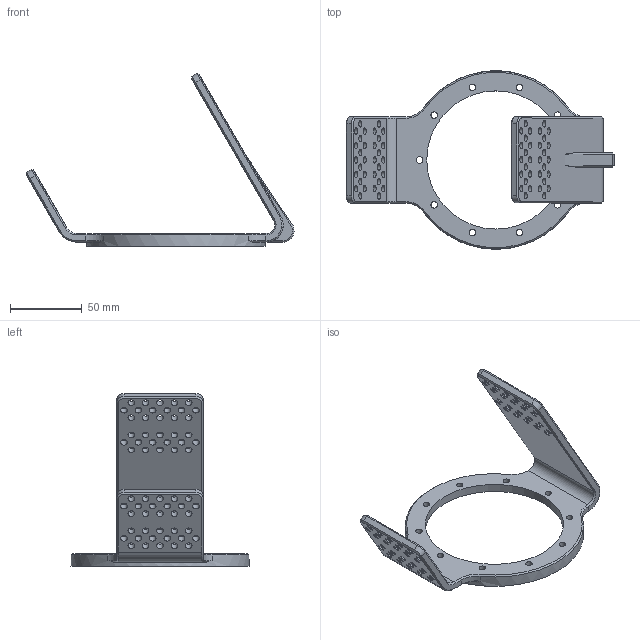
import cadquery as cq
import math

ring_radius = 62.0
bore_radius = 48.0
ring_height = 9.0
skirt_wall = 3.0
bolt_circle_radius = 53.0
bolt_hole_diameter = 4.5
bolt_hole_count = 10

strap_width = 60.0
strap_thickness = 6.0
arm_tilt = 60.0
tip_corner_radius = 5.0
tab_blend_radius = 15.0
edge_chamfer = 1.0

front_bend_x = -68.8
front_bend_radius = 8.0
front_arm_length = 47.4
rear_bend_x = 62.6
rear_bend_radius = 6.0
rear_arm_length = 115.1

grip_hole_diameter = 4.5
grip_pitch_across = 10.0
grip_pitch_along = 6.0
grip_group_spacing = 25.8
grip_tip_offset = 10.5
grip_long_row = 6
grip_short_row = 5

rib_width = 10.0
rib_nose_x = 74.1
rib_nose_radius = 8.0
rib_top_x = 48.0

strap_bottom = ring_height - strap_thickness
half_width = strap_width / 2
tilt = math.radians(arm_tilt)
front_bend = (front_bend_x, ring_height + front_bend_radius)
rear_bend = (rear_bend_x, ring_height + rear_bend_radius)


def polar(center, radius, angle):
    """Point in the XZ plane at a distance and an angle (degrees from +X) from a centre."""
    turn = math.radians(angle)
    return (center[0] + radius * math.cos(turn), center[1] + radius * math.sin(turn))


def along_arm(point, distance):
    """Point moved up along the direction shared by both arms."""
    return (point[0] - distance * math.cos(tilt), point[1] + distance * math.sin(tilt))


def extrude_across(outline, width):
    """Solid of an XZ outline, centred on Y = 0."""
    return outline.close().extrude(width / 2, both=True)


front_end = 270 - arm_tilt
front_middle = 270 - arm_tilt / 2
rear_end = 90 - arm_tilt
rear_middle = rear_end / 2 - 45
flat = 270


def make_strap():
    """Bent strip with rounded arm tips."""
    front_outer = front_bend_radius + strap_thickness
    rear_outer = rear_bend_radius + strap_thickness
    front_outer_end = polar(front_bend, front_outer, front_end)
    front_inner_end = polar(front_bend, front_bend_radius, front_end)
    rear_outer_end = polar(rear_bend, rear_outer, rear_end)
    rear_inner_end = polar(rear_bend, rear_bend_radius, rear_end)
    outline = (
        cq.Workplane("XZ")
        .moveTo(*along_arm(front_outer_end, front_arm_length))
        .lineTo(*front_outer_end)
        .threePointArc(polar(front_bend, front_outer, front_middle), polar(front_bend, front_outer, flat))
        .lineTo(*polar(rear_bend, rear_outer, flat))
        .threePointArc(polar(rear_bend, rear_outer, rear_middle), rear_outer_end)
        .lineTo(*along_arm(rear_outer_end, rear_arm_length))
        .lineTo(*along_arm(rear_inner_end, rear_arm_length))
        .lineTo(*rear_inner_end)
        .threePointArc(
            polar(rear_bend, rear_bend_radius, rear_middle), polar(rear_bend, rear_bend_radius, flat)
        )
        .lineTo(*polar(front_bend, front_bend_radius, flat))
        .threePointArc(polar(front_bend, front_bend_radius, front_middle), front_inner_end)
        .lineTo(*along_arm(front_inner_end, front_arm_length))
    )
    strap = extrude_across(outline, strap_width)
    for tip in ("<X", ">Z"):
        strap = strap.faces(tip).edges("not |Y").fillet(tip_corner_radius)
    return strap


def make_body():
    """Strap joined to the ring disc, blended at the four corners and chamfered along its outline."""
    disc = cq.Workplane("XY").circle(ring_radius).extrude(ring_height)
    body = make_strap().union(disc)
    corner_x = math.sqrt(ring_radius**2 - half_width**2)
    for x in (-corner_x, corner_x):
        for y in (-half_width, half_width):
            corner = cq.selectors.NearestToPointSelector((x, y, ring_height - strap_thickness / 2))
            body = body.edges("|Z").edges(corner).fillet(tab_blend_radius)

    body = body.faces("<X").edges("|Y").edges(">Z").chamfer(edge_chamfer)
    for x, y in ((-corner_x, -half_width), (corner_x, half_width)):
        blend_edge = cq.selectors.NearestToPointSelector((x, y, strap_bottom))
        body = body.edges(blend_edge).chamfer(edge_chamfer)

    half = body.copyWorkplane(cq.Workplane("XZ")).split(keepTop=True)
    return half.union(half.mirror("XZ")).clean()


def make_rib():
    """Rib on the outside of the rear bend, its inner edge buried at the middle of the strap."""
    core_radius = rear_bend_radius + strap_thickness / 2
    core_end = polar(rear_bend, core_radius, rear_end)
    nose = (rib_nose_x, strap_bottom + rib_nose_radius)
    face_point = polar(rear_bend, rear_bend_radius + strap_thickness, rear_end)
    top = along_arm(face_point, (face_point[0] - rib_top_x) / math.cos(tilt))
    drop = top[1] - nose[1]
    run = nose[0] - top[0]
    slope = math.degrees(math.atan2(drop, run) - math.asin(rib_nose_radius / math.hypot(drop, run)))
    nose_end = 90 - slope
    outline = (
        cq.Workplane("XZ")
        .moveTo(rear_bend_x, strap_bottom)
        .lineTo(nose[0], strap_bottom)
        .threePointArc(polar(nose, rib_nose_radius, nose_end / 2 - 45), polar(nose, rib_nose_radius, nose_end))
        .lineTo(*top)
        .lineTo(top[0] - strap_thickness / 2 / math.sin(tilt), top[1])
        .lineTo(*core_end)
        .threePointArc(polar(rear_bend, core_radius, rear_middle), polar(rear_bend, core_radius, flat))
    )
    rib = extrude_across(outline, rib_width)
    return rib.faces("<Z").edges("|X").chamfer(edge_chamfer)


def make_grip_holes(bend, face_radius, end_angle, arm_length):
    """Cutters square to an arm: two groups of three staggered rows below its tip."""
    tip = along_arm(polar(bend, face_radius, end_angle), arm_length)
    arm_face = cq.Plane(
        origin=(tip[0], 0, tip[1]),
        xDir=(math.cos(tilt), 0, -math.sin(tilt)),
        normal=(-math.sin(tilt), 0, -math.cos(tilt)),
    )
    points = []
    for group in range(2):
        middle_row = grip_tip_offset + group * grip_group_spacing
        for row, count in ((-1, grip_short_row), (0, grip_long_row), (1, grip_short_row)):
            for i in range(count):
                across = (i - (count - 1) / 2) * grip_pitch_across
                points.append((middle_row + row * grip_pitch_along, across))
    return (
        cq.Workplane(arm_face)
        .pushPoints(points)
        .circle(grip_hole_diameter / 2)
        .extrude(2 * strap_thickness, both=True)
    )


def make_ring_openings():
    """Bore, bolt holes and the underside recess that leaves a skirt round the ring."""
    bore = cq.Workplane("XY").circle(bore_radius).extrude(ring_height)
    bolts = (
        cq.Workplane("XY")
        .polarArray(bolt_circle_radius, 0, 360, bolt_hole_count)
        .circle(bolt_hole_diameter / 2)
        .extrude(ring_height)
    )
    recess = cq.Workplane("XY").circle(ring_radius - skirt_wall).extrude(strap_bottom)
    return bore.union(bolts).union(recess)


result = (
    make_body()
    .union(make_rib())
    .cut(make_ring_openings())
    .cut(make_grip_holes(front_bend, front_bend_radius, front_end, front_arm_length))
    .cut(make_grip_holes(rear_bend, rear_bend_radius, rear_end, rear_arm_length))
)